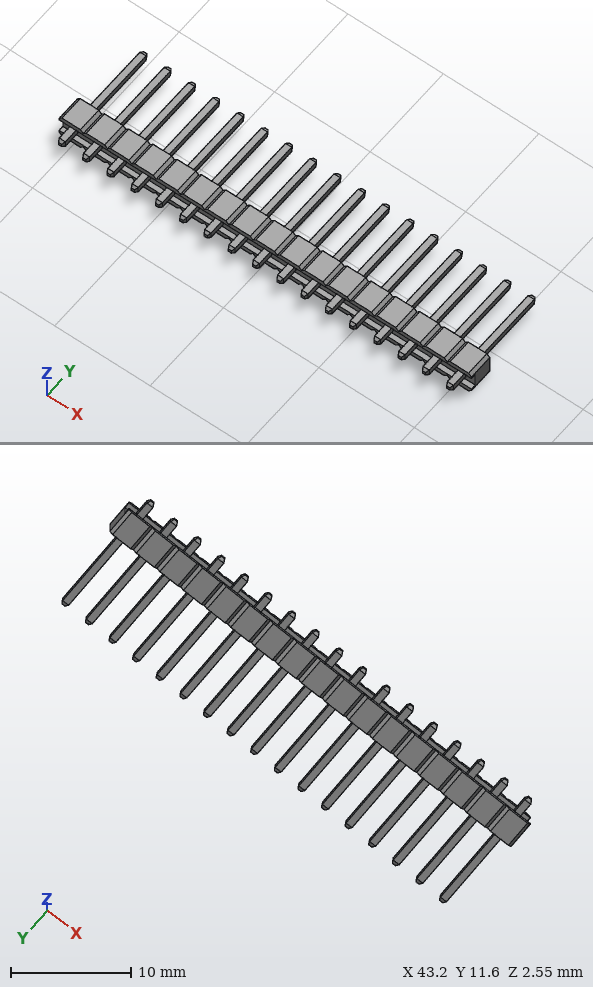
import cadquery as cq

pin_count = 17
row_length = 43.2
pitch = row_length / pin_count
housing_height = 2.55
housing_depth = 2.5
segment_chamfer = 0.3

groove_height = 1.5
groove_depth = 0.5

pin_width = 0.65
rear_pin_length = 7.6
front_pin_length = 1.5
tip_length = 0.3
tip_inset = 0.15

overall_depth = front_pin_length + housing_depth + rear_pin_length
front_tip_y = -overall_depth / 2
rear_tip_y = overall_depth / 2
housing_front_y = front_tip_y + front_pin_length


def segment_center_x(index):
    return (index - (pin_count - 1) / 2) * pitch


def make_segment(index):
    """One housing segment with its four lengthwise edges chamfered."""
    return (
        cq.Workplane("XY")
        .box(pitch, housing_depth, housing_height, centered=(True, False, True))
        .edges("|Y")
        .chamfer(segment_chamfer)
        .translate((segment_center_x(index), housing_front_y, 0))
    )


def make_groove():
    """Cutter for the channel that runs the full length of the front face."""
    return (
        cq.Workplane("XY")
        .box(row_length, groove_depth, groove_height, centered=(True, False, True))
        .translate((0, housing_front_y, 0))
    )


def make_pin(index):
    """Square pin through the housing, tapered on all sides at both tips."""
    half_width = pin_width / 2
    tip_half_width = half_width - tip_inset
    shank_front_y = front_tip_y + tip_length
    shank_rear_y = rear_tip_y - tip_length
    tapered_outline = [
        (-tip_half_width, front_tip_y),
        (tip_half_width, front_tip_y),
        (half_width, shank_front_y),
        (half_width, shank_rear_y),
        (tip_half_width, rear_tip_y),
        (-tip_half_width, rear_tip_y),
        (-half_width, shank_rear_y),
        (-half_width, shank_front_y),
    ]
    tapered_bar = cq.Workplane("XY").polyline(tapered_outline).close().extrude(half_width, both=True)
    quarter_turned_bar = tapered_bar.rotate((0, 0, 0), (0, 1, 0), 90)
    pin = tapered_bar.intersect(quarter_turned_bar)
    return pin.translate((segment_center_x(index), 0, 0))


housing = make_segment(0)
for i in range(1, pin_count):
    housing = housing.union(make_segment(i))
housing = housing.cut(make_groove())

result = housing
for i in range(pin_count):
    result = result.union(make_pin(i))
result = result.clean()